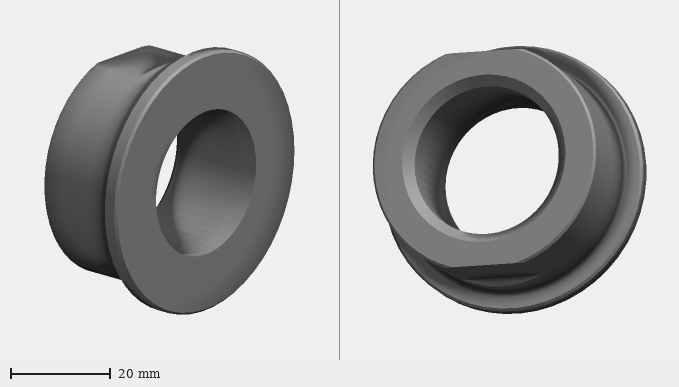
import cadquery as cq

total_length = 23.0
flange_diameter = 54.5
flange_thickness = 3.5
body_diameter = 47.0
bore_diameter = 30.3
edge_chamfer = 0.5
bore_chamfer = 2.0
root_fillet = 0.8
flat_half_height = 22.0
flat_length = 12.05

body_radius = body_diameter / 2
flange_radius = flange_diameter / 2
bore_radius = bore_diameter / 2
flange_face = total_length - flange_thickness


def turned_sleeve():
    """Flanged sleeve revolved about X, with chamfered edges and a filleted flange root."""
    profile = (
        cq.Workplane("XY")
        .moveTo(0, bore_radius + bore_chamfer)
        .lineTo(0, body_radius - edge_chamfer)
        .lineTo(edge_chamfer, body_radius)
        .lineTo(flange_face - root_fillet, body_radius)
        .radiusArc((flange_face, body_radius + root_fillet), -root_fillet)
        .lineTo(flange_face, flange_radius - edge_chamfer)
        .lineTo(flange_face + edge_chamfer, flange_radius)
        .lineTo(total_length - edge_chamfer, flange_radius)
        .lineTo(total_length, flange_radius - edge_chamfer)
        .lineTo(total_length, bore_radius)
        .lineTo(bore_chamfer, bore_radius)
        .close()
    )
    return profile.revolve(360, (0, 0, 0), (1, 0, 0))


def flat_cutter():
    """Material removed above the upper flat, with a 45 degree run-out at its inner end."""
    runout = body_radius - flat_half_height
    outline = [
        (0, flat_half_height),
        (flat_length, flat_half_height),
        (flat_length + runout, body_radius),
        (0, body_radius),
    ]
    return cq.Workplane("XZ").polyline(outline).close().extrude(body_radius, both=True)


upper_cutter = flat_cutter()
lower_cutter = upper_cutter.mirror("XY")
result = turned_sleeve().cut(upper_cutter).cut(lower_cutter)